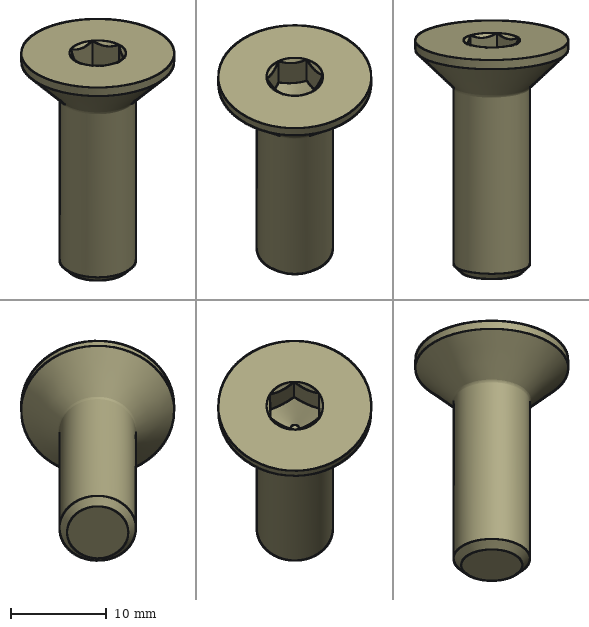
import cadquery as cq
import math

total_length = 25.0
head_diameter = 16.0
shank_diameter = 8.0
rim_height = 1.0
neck_fillet = 0.4
tip_chamfer = 0.8

across_flats = 5.1
socket_depth = 3.0
mouth_angle = 45.0
floor_angle = 30.0
floor_flat_diameter = 0.85

head_radius = head_diameter / 2
shank_radius = shank_diameter / 2
corner_radius = across_flats / 2 / math.cos(math.pi / 6)
floor_flat_radius = floor_flat_diameter / 2

neck_z = total_length - rim_height - (head_radius - shank_radius)


def make_body():
    """Shank with a chamfered tip, blended into a countersunk head."""
    shank = cq.Workplane("XY").circle(shank_radius).extrude(total_length)
    shank = shank.faces("<Z").chamfer(tip_chamfer)
    head = (
        cq.Workplane("XZ")
        .moveTo(0, neck_z)
        .lineTo(shank_radius, neck_z)
        .lineTo(head_radius, total_length - rim_height)
        .lineTo(head_radius, total_length)
        .lineTo(0, total_length)
        .close()
        .revolve(360, (0, 0), (0, 1))
    )
    neck_edge = cq.selectors.BoxSelector(
        (-head_radius, -head_radius, neck_z - neck_fillet),
        (head_radius, head_radius, neck_z + neck_fillet),
    )
    body = shank.union(head)
    return body.edges("%CIRCLE").edges(neck_edge).fillet(neck_fillet)


def make_socket():
    """Hexagonal recess with a conical mouth and a flat-centred conical floor."""
    corner_z = total_length - socket_depth
    floor_drop = (corner_radius - floor_flat_radius) * math.tan(math.radians(floor_angle))
    mouth_depth = corner_radius * math.tan(math.radians(mouth_angle))
    floor_z = corner_z - floor_drop

    hexagon = (
        cq.Workplane("XY")
        .workplane(offset=floor_z)
        .polygon(6, 2 * corner_radius)
        .extrude(total_length - floor_z)
    )
    envelope = (
        cq.Workplane("XZ")
        .moveTo(0, floor_z)
        .lineTo(floor_flat_radius, floor_z)
        .lineTo(corner_radius, corner_z)
        .lineTo(head_radius, corner_z)
        .lineTo(head_radius, total_length)
        .lineTo(0, total_length)
        .close()
        .revolve(360, (0, 0), (0, 1))
    )
    mouth = (
        cq.Workplane("XZ")
        .moveTo(0, total_length - mouth_depth)
        .lineTo(corner_radius, total_length)
        .lineTo(0, total_length)
        .close()
        .revolve(360, (0, 0), (0, 1))
    )
    return hexagon.intersect(envelope).union(mouth)


result = make_body().cut(make_socket())